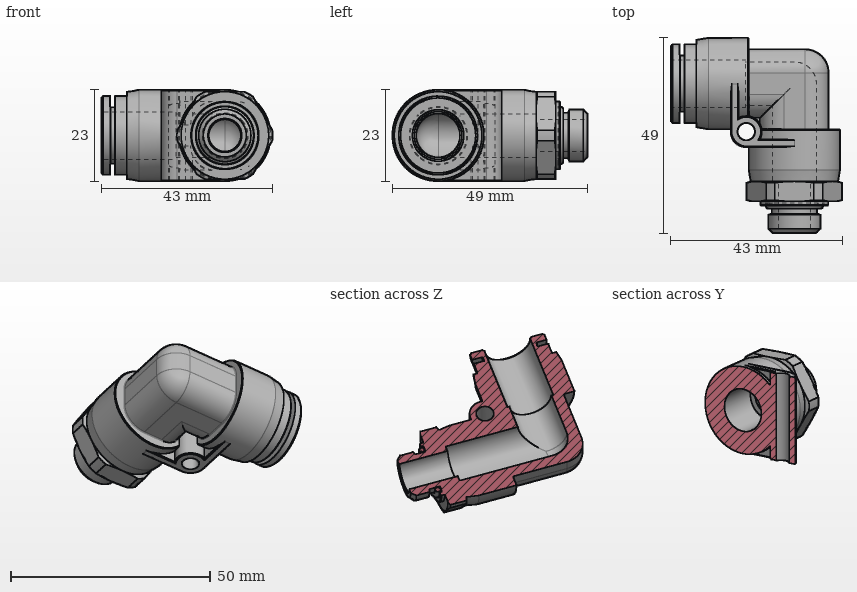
import cadquery as cq
import math


BARREL_RADIUS = 11.49
BARREL_START = 11.45
BARREL_CHAMFER = 0.2
TAPER_START = 21.55
BARREL_END = 24.55
TAPER_END_RADIUS = 11.0

LEG_HALF_WIDTH = 8.6
LEG_ROUNDING = 6.0
LEG_FLAT_HALF = LEG_HALF_WIDTH - LEG_ROUNDING
LEG_OVERLAP = 0.5
LEG_ROOT_FILLET = 0.2
EDGE_MARGIN = 0.05

COLLAR_RADIUS = 9.9
COLLAR_NECK_RADIUS = 7.1
COLLAR_NECK_START = 27.65
COLLAR_RIM_START = 28.75
COLLAR_END = 30.95
COLLAR_CHAMFER = 0.5
COLLAR_GROOVE_CHAMFER = 0.2

HEX_HALF_FLATS = 11.0
HEX_CORNER_RADIUS = 12.0
HEX_END = 29.55
HEX_CHAMFER_DEPTH = 0.35

FLANGE_RADIUS = 8.55
FLANGE_END = 30.6
FLANGE_CHAMFER = 0.2
NECK_RADIUS = 5.75
NECK_END = 32.6
THREAD_RADIUS = 6.55
THREAD_START = 32.95
STUD_CHAMFER_START = 36.35
STUD_END = 37.51
STUD_END_RADIUS = 5.4

SEAL_TUBE_RADIUS = 0.75
SEAL_CENTRE_RADIUS = NECK_RADIUS + SEAL_TUBE_RADIUS
SEAL_CENTRE = 30.65
RECESS_RADIUS = 7.35
RECESS_FLOOR = SEAL_CENTRE - SEAL_TUBE_RADIUS

PASSAGE_RADIUS = 5.5
TUBE_SEAT_RADIUS = 6.0
TUBE_SEAT_BOTTOM = 12.25
TUBE_MOUTH_CHAMFER = 0.5
STUD_BORE_RADIUS = 4.0
STUD_MOUTH_CHAMFER = 0.25

BOSS_RADIUS = 3.9
BOSS_CENTRE = -12.05
BOSS_HOLE_RADIUS = 2.15
ARM_THICKNESS = 2.05
WEB_CHAMFER = 0.25


def turned(profile):
    """Revolve (radius, distance) points about the Y axis, distance running to -Y."""
    points = [(radius, -distance) for radius, distance in profile]
    return cq.Workplane("XY").polyline(points).close().revolve(360, (0, 0, 0), (0, 1, 0))


def to_tube_port(shape):
    """Turn a shape from the -Y leg onto the -X leg."""
    return shape.rotate((0, 0, 0), (0, 0, 1), -90)


def barrel():
    return turned([
        (0, BARREL_START),
        (BARREL_RADIUS - BARREL_CHAMFER, BARREL_START),
        (BARREL_RADIUS, BARREL_START + BARREL_CHAMFER),
        (BARREL_RADIUS, TAPER_START),
        (TAPER_END_RADIUS, BARREL_END),
        (0, BARREL_END),
    ])


def leg():
    """Rounded-square bar from the elbow corner into the barrel on the -Y leg."""
    length = LEG_FLAT_HALF + BARREL_START + LEG_OVERLAP
    return (
        cq.Workplane("XZ", origin=(0, LEG_FLAT_HALF, 0))
        .rect(2 * LEG_HALF_WIDTH, 2 * LEG_HALF_WIDTH)
        .extrude(length)
        .edges("|Y")
        .fillet(LEG_ROUNDING)
    )


def leg_with_barrel():
    """One leg and its barrel, with a small fillet where the leg meets the barrel face."""
    reach = LEG_HALF_WIDTH + LEG_OVERLAP
    root_edges = cq.selectors.BoxSelector(
        (-reach, -BARREL_START - EDGE_MARGIN, -reach),
        (reach, -BARREL_START + EDGE_MARGIN, reach),
        boundingbox=True,
    )
    return leg().union(barrel()).edges(root_edges).fillet(LEG_ROOT_FILLET)


def elbow_corner():
    """Upright capsule that rounds the outer corner where the legs meet."""
    diagonal = LEG_ROUNDING * math.sqrt(0.5)
    return (
        cq.Workplane("XZ")
        .moveTo(0, -LEG_HALF_WIDTH)
        .threePointArc((diagonal, -LEG_FLAT_HALF - diagonal), (LEG_ROUNDING, -LEG_FLAT_HALF))
        .lineTo(LEG_ROUNDING, LEG_FLAT_HALF)
        .threePointArc((diagonal, LEG_FLAT_HALF + diagonal), (0, LEG_HALF_WIDTH))
        .close()
        .revolve(360, (0, 0, 0), (0, 1, 0))
        .translate((LEG_FLAT_HALF, LEG_FLAT_HALF, 0))
    )


def collar():
    return to_tube_port(turned([
        (0, BARREL_END),
        (COLLAR_RADIUS, BARREL_END),
        (COLLAR_RADIUS, COLLAR_NECK_START - COLLAR_GROOVE_CHAMFER),
        (COLLAR_RADIUS - COLLAR_GROOVE_CHAMFER, COLLAR_NECK_START),
        (COLLAR_NECK_RADIUS, COLLAR_NECK_START),
        (COLLAR_NECK_RADIUS, COLLAR_RIM_START - COLLAR_GROOVE_CHAMFER),
        (COLLAR_NECK_RADIUS + COLLAR_GROOVE_CHAMFER, COLLAR_RIM_START),
        (COLLAR_RADIUS, COLLAR_RIM_START),
        (COLLAR_RADIUS, COLLAR_END - COLLAR_CHAMFER),
        (COLLAR_RADIUS - COLLAR_CHAMFER, COLLAR_END),
        (0, COLLAR_END),
    ]))


def hexagon():
    """Hexagon with corners toward +X and -X, trimmed to a chamfered disc."""
    across_corners = 2 * HEX_HALF_FLATS / math.cos(math.radians(30))
    prism = (
        cq.Workplane("XZ", origin=(0, -BARREL_END, 0))
        .polygon(6, across_corners)
        .extrude(HEX_END - BARREL_END)
    )
    trimming_disc = turned([
        (0, BARREL_END),
        (HEX_HALF_FLATS, BARREL_END),
        (HEX_CORNER_RADIUS, BARREL_END + HEX_CHAMFER_DEPTH),
        (HEX_CORNER_RADIUS, HEX_END - HEX_CHAMFER_DEPTH),
        (HEX_HALF_FLATS, HEX_END),
        (0, HEX_END),
    ])
    return prism.intersect(trimming_disc)


def stud():
    """Flange with the seal recess, relief neck and thread cylinder."""
    return turned([
        (0, HEX_END),
        (FLANGE_RADIUS, HEX_END),
        (FLANGE_RADIUS, FLANGE_END - FLANGE_CHAMFER),
        (FLANGE_RADIUS - FLANGE_CHAMFER, FLANGE_END),
        (RECESS_RADIUS, FLANGE_END),
        (RECESS_RADIUS, RECESS_FLOOR),
        (NECK_RADIUS, RECESS_FLOOR),
        (NECK_RADIUS, NECK_END),
        (THREAD_RADIUS, THREAD_START),
        (THREAD_RADIUS, STUD_CHAMFER_START),
        (STUD_END_RADIUS, STUD_END),
        (0, STUD_END),
    ])


def mounting_web():
    """Boss and two arms as high as the barrels, chamfered along their long edges."""
    height = 2 * BARREL_RADIUS
    outer_face = BOSS_CENTRE - BOSS_RADIUS
    boss = (
        cq.Workplane("XY", origin=(BOSS_CENTRE, BOSS_CENTRE, -BARREL_RADIUS))
        .circle(BOSS_RADIUS)
        .extrude(height)
        .faces("<Z or >Z")
        .chamfer(WEB_CHAMFER)
    )
    stud_arm = (
        cq.Workplane("YZ", origin=(BOSS_CENTRE, outer_face + ARM_THICKNESS / 2, 0))
        .rect(ARM_THICKNESS, height)
        .extrude(-BOSS_CENTRE)
        .edges("|X")
        .chamfer(WEB_CHAMFER)
    )
    tube_arm = to_tube_port(stud_arm).mirror("XZ")
    return boss.union(tube_arm).union(stud_arm)


def corner_fill():
    """Block that closes the gap between the boss and the side walls of the legs."""
    side = -LEG_HALF_WIDTH - BOSS_CENTRE
    middle = BOSS_CENTRE + side / 2
    return cq.Workplane("XY", origin=(middle, middle, 0)).box(side, side, 2 * LEG_FLAT_HALF)


def boss_hole():
    return (
        cq.Workplane("XY", origin=(BOSS_CENTRE, BOSS_CENTRE, -BARREL_RADIUS))
        .circle(BOSS_HOLE_RADIUS)
        .extrude(2 * BARREL_RADIUS)
    )


def passage():
    """Bent passage with a spherical corner, the tube seat and the stud bore."""
    tube_side = to_tube_port(turned([
        (0, 0),
        (PASSAGE_RADIUS, 0),
        (PASSAGE_RADIUS, TUBE_SEAT_BOTTOM),
        (TUBE_SEAT_RADIUS, TUBE_SEAT_BOTTOM),
        (TUBE_SEAT_RADIUS, COLLAR_END - TUBE_MOUTH_CHAMFER),
        (TUBE_SEAT_RADIUS + TUBE_MOUTH_CHAMFER, COLLAR_END),
        (0, COLLAR_END),
    ]))
    stud_side = turned([
        (0, 0),
        (PASSAGE_RADIUS, 0),
        (PASSAGE_RADIUS, BARREL_END),
        (STUD_BORE_RADIUS, BARREL_END),
        (STUD_BORE_RADIUS, STUD_END - STUD_MOUTH_CHAMFER),
        (STUD_BORE_RADIUS + STUD_MOUTH_CHAMFER, STUD_END),
        (0, STUD_END),
    ])
    return tube_side.union(stud_side).union(cq.Workplane("XY").sphere(PASSAGE_RADIUS))


def fitting_body():
    outside = leg_with_barrel().union(to_tube_port(leg_with_barrel()))
    outside = outside.union(elbow_corner())
    outside = outside.union(mounting_web()).union(corner_fill())
    outside = outside.union(collar()).union(hexagon()).union(stud())
    return outside.cut(passage()).cut(boss_hole())


def seal_ring():
    return (
        cq.Workplane("XY")
        .center(SEAL_CENTRE_RADIUS, -SEAL_CENTRE)
        .circle(SEAL_TUBE_RADIUS)
        .revolve(360, (-SEAL_CENTRE_RADIUS, 0, 0), (-SEAL_CENTRE_RADIUS, 1, 0))
    )


fitting = fitting_body()
seal = seal_ring()
result = cq.Compound.makeCompound([fitting.val(), seal.val()])